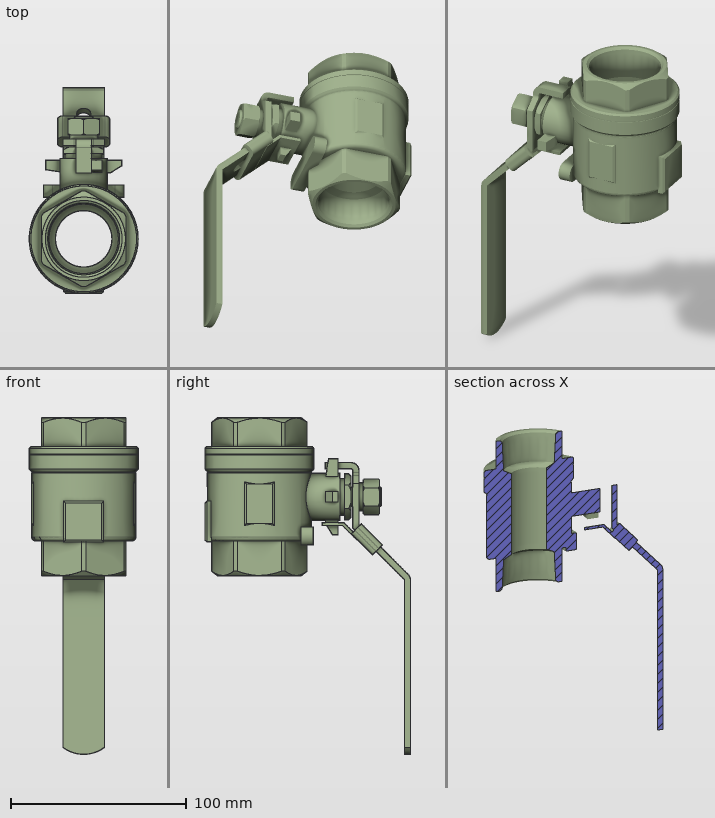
import cadquery as cq
import math


END_Z = 45.0
HEX_FLATS = 48.3
HEX_CORNER_RADIUS = 27.2
HEX_END_RADIUS = 23.7
HEX_CHAMFER_HEIGHT = 2.7
BODY_RADIUS = 29.7
BODY_BOTTOM_Z = -25.0
BODY_BOTTOM_FILLET = 2.3
FLANGE_RADIUS = 31.0
FLANGE_TOP_Z = 28.5
FLANGE_BOTTOM_Z = 14.2
FLANGE_TOP_CHAMFER = 1.0
NECK_RADIUS = 59.0 / 2
NECK_HEIGHT = 0.8
SEAM_Z = 24.0
SEAM_WIDTH = 0.5
SEAM_DEPTH = 0.4

BORE_DIAMETER = 32.0
SOCKET_MOUTH_RADIUS = 21.8
SOCKET_RADIUS = 20.5
SOCKET_FLOOR_RADIUS = 19.7
SOCKET_DEPTH = 18.4
SOCKET_FLOOR_DROP = 2.3

PAD_CHAMFER = 1.1
SIDE_PAD_WIDTH = 17.0
SIDE_PAD_TOP_Z = 8.5
SIDE_PAD_BOTTOM_Z = -16.3
SIDE_PAD_THICKNESS = 3.8
FRONT_PAD_WIDTH = 22.8
FRONT_PAD_TOP_Z = -2.5
FRONT_PAD_BOTTOM_Z = -25.7
FRONT_PAD_THICKNESS = 3.8

LUG_SPAN = 46.0
LUG_WIDTH = 10.3
LUG_Z = -22.2
LUG_TOP_Y = 30.6
LUG_BACK_Y = 23.5

TOWER_DIAMETER = 27.0
TOWER_ROOT_Y = 17.2
TOWER_TOP_Y = 45.8
TOWER_NECK_DIAMETER = 21.0
GLAND_BACK_Y = 48.5
GLAND_TOP_Y = 52.0
GLAND_CORNERS = 26.2
GLAND_CHAMFER = 1.3
STEM_DIAMETER = 11.1
STEM_TOP_Y = 69.5
STEM_CHAMFER = 0.8
COLLAR_DIAMETER = 16.0
NUT_BACK_Y = 59.0
NUT_TOP_Y = 68.4
NUT_CORNERS = 20.5
NUT_CHAMFER = 0.8

WING_REACH = 21.6
WING_TOP_Y = 44.8
WING_ROOT = 11.5
WING_WIDTH = 6.0
STOP_WING_OFFSET = 7.5
STOP_ROOT_Y = 37.7
STOP_TIP_Y = 39.3
LOCK_ROOT_Y = 37.5
LOCK_SLOPE_START = 15.3
LOCK_TIP_Y = 41.5

LEVER_THICKNESS = 3.6
LEVER_WIDTH = 23.7
LEVER_OUTER_Y = 56.7
TAB_WIDTH = 8.8
TAB_END_Y = 37.3
TAB_TOP_Z = 19.5
TAB_BEND_RADIUS = 4.8
TAB_FILLET_TOP_Z = 13.8
TAB_FILLET_RADIUS = 2.3
SHOULDER_INNER_WIDTH = 11.1
SHOULDER_TOP_Z = 12.0
SHOULDER_BOTTOM_Z = 7.5
HUB_BEND_Z = -16.3
GRIP_OUTER_Y = 86.0
GRIP_BEND_RADIUS = 4.8
LEVER_END_Z = -146.5
LEVER_END_SAGITTA = 4.0
LOCK_SLOT_WIDTH = 8.0
LOCK_SLOT_LENGTH = 13.5
LOCK_SLOT_END = 24.7

SLEEVE_WIDTH = 29.7
SLEEVE_LENGTH = 17.0
SLEEVE_START = 0.2
SLEEVE_ABOVE = 1.5
SLEEVE_BELOW = 2.9
SLEEVE_ROUND = 2.9
LATCH_WIDTH = 23.4
LATCH_THICKNESS = 1.7
LATCH_TOP_Z = -14.7
LATCH_TIP_Y = 35.6
LATCH_BEND_Y = 48.0

SIN45 = math.sqrt(0.5)
TAN_HALF_BEND = math.tan(math.radians(45 / 2))
BEND_SHIFT = LEVER_THICKNESS * TAN_HALF_BEND


def cylinder_y(diameter, back_y, top_y):
    """Cylinder on the stem axis between two Y levels."""
    return cq.Workplane("XZ", origin=(0, back_y, 0)).circle(diameter / 2).extrude(back_y - top_y)


def hexagon_y(corners, back_y, top_y):
    """Hexagonal prism on the stem axis with corners pointing along Z."""
    return (
        cq.Workplane("XZ", origin=(0, back_y, 0))
        .transformed(rotate=(0, 0, 90))
        .polygon(6, corners)
        .extrude(back_y - top_y)
    )


def revolve_z(points):
    """Solid of revolution around Z from (radius, z) points."""
    return cq.Workplane("XZ").polyline(points).close().revolve(360, (0, 0), (0, 1))


def plate_yz(points, width, center_x=0):
    """Prism along X from (y, z) points, centred on center_x."""
    return (
        cq.Workplane("YZ", origin=(center_x, 0, 0)).polyline(points).close().extrude(width / 2, both=True)
    )


def hex_ends():
    """Long hexagon with turned corners and chamfered ends."""
    corner_z = END_Z - HEX_CHAMFER_HEIGHT
    prism = (
        cq.Workplane("XY", origin=(0, 0, -END_Z))
        .transformed(rotate=(0, 0, 90))
        .polygon(6, HEX_FLATS / math.cos(math.radians(30)))
        .extrude(2 * END_Z)
    )
    envelope = revolve_z([
        (0, -END_Z), (HEX_END_RADIUS, -END_Z), (HEX_CORNER_RADIUS, -corner_z),
        (HEX_CORNER_RADIUS, corner_z), (HEX_END_RADIUS, END_Z), (0, END_Z),
    ])
    return prism.intersect(envelope)


def barrel():
    """Round body with its flange and neck."""
    body_top_z = FLANGE_BOTTOM_Z - NECK_HEIGHT
    body = (
        cq.Workplane("XY", origin=(0, 0, BODY_BOTTOM_Z))
        .circle(BODY_RADIUS)
        .extrude(body_top_z - BODY_BOTTOM_Z)
        .faces("<Z").edges().fillet(BODY_BOTTOM_FILLET)
    )
    seam_radius = FLANGE_RADIUS - SEAM_DEPTH
    seam_low = SEAM_Z - SEAM_WIDTH / 2
    seam_high = SEAM_Z + SEAM_WIDTH / 2
    flange = revolve_z([
        (0, body_top_z),
        (NECK_RADIUS, body_top_z),
        (NECK_RADIUS, FLANGE_BOTTOM_Z),
        (FLANGE_RADIUS, FLANGE_BOTTOM_Z + FLANGE_RADIUS - NECK_RADIUS),
        (FLANGE_RADIUS, seam_low),
        (seam_radius, seam_low),
        (seam_radius, seam_high),
        (FLANGE_RADIUS, seam_high),
        (FLANGE_RADIUS, FLANGE_TOP_Z - FLANGE_TOP_CHAMFER),
        (FLANGE_RADIUS - FLANGE_TOP_CHAMFER, FLANGE_TOP_Z),
        (0, FLANGE_TOP_Z),
    ])
    return body.union(flange)


def flow_passage():
    """Through bore with a stepped socket at each end."""
    mouth_depth = SOCKET_MOUTH_RADIUS - SOCKET_RADIUS
    floor_z = END_Z - SOCKET_DEPTH
    upper = [
        (BORE_DIAMETER / 2, floor_z - SOCKET_FLOOR_DROP),
        (SOCKET_FLOOR_RADIUS, floor_z),
        (SOCKET_RADIUS, END_Z - mouth_depth),
        (SOCKET_MOUTH_RADIUS, END_Z),
        (0, END_Z),
    ]
    lower = [(radius, -z) for radius, z in reversed(upper)]
    return revolve_z(lower + upper)


def raised_pads():
    """One flat pad on each X side and one on the side away from the stem."""
    side_height = SIDE_PAD_TOP_Z - SIDE_PAD_BOTTOM_Z
    side_z = (SIDE_PAD_TOP_Z + SIDE_PAD_BOTTOM_Z) / 2
    pads = cq.Workplane("XY")
    for side, face in ((-1, "<X"), (1, ">X")):
        center_x = side * (BODY_RADIUS - SIDE_PAD_THICKNESS / 2)
        pad = (
            cq.Workplane("XY", origin=(center_x, 0, side_z))
            .box(SIDE_PAD_THICKNESS, SIDE_PAD_WIDTH, side_height)
            .faces(face).edges().chamfer(PAD_CHAMFER)
        )
        pads = pads.add(pad)
    front_height = FRONT_PAD_TOP_Z - FRONT_PAD_BOTTOM_Z
    front_z = (FRONT_PAD_TOP_Z + FRONT_PAD_BOTTOM_Z) / 2
    front_y = -FLANGE_RADIUS + FRONT_PAD_THICKNESS / 2
    front = (
        cq.Workplane("XY", origin=(0, front_y, front_z))
        .box(FRONT_PAD_WIDTH, FRONT_PAD_THICKNESS, front_height)
        .faces("<Y").edges().chamfer(PAD_CHAMFER)
    )
    return pads.add(front).combine()


def mounting_lugs():
    """Round-ended bar across the stem side of the body, forming a lug at each end."""
    return (
        cq.Workplane("XZ", origin=(0, LUG_BACK_Y, LUG_Z))
        .slot2D(LUG_SPAN, LUG_WIDTH)
        .extrude(LUG_BACK_Y - LUG_TOP_Y)
    )


def stem_tower():
    """Tower, gland nut, stem, collar and stem nut stacked along +Y."""
    gland = hexagon_y(GLAND_CORNERS, GLAND_BACK_Y, GLAND_TOP_Y)
    stem = cylinder_y(STEM_DIAMETER, BODY_RADIUS, STEM_TOP_Y).faces(">Y").edges().chamfer(STEM_CHAMFER)
    nut = hexagon_y(NUT_CORNERS, NUT_BACK_Y, NUT_TOP_Y)
    nut_envelope = (
        cylinder_y(NUT_CORNERS, NUT_BACK_Y, NUT_TOP_Y).faces("<Y or >Y").edges().chamfer(NUT_CHAMFER)
    )
    gland_envelope = (
        cylinder_y(GLAND_CORNERS, GLAND_BACK_Y, GLAND_TOP_Y).faces(">Y").edges().chamfer(GLAND_CHAMFER)
    )
    return (
        cylinder_y(TOWER_DIAMETER, TOWER_ROOT_Y, TOWER_TOP_Y)
        .union(cylinder_y(TOWER_NECK_DIAMETER, TOWER_TOP_Y, GLAND_BACK_Y))
        .union(gland.intersect(gland_envelope))
        .union(stem)
        .union(cylinder_y(COLLAR_DIAMETER, LEVER_OUTER_Y, NUT_BACK_Y))
        .union(nut.intersect(nut_envelope))
    )


def tower_wings():
    """Two stop wings (+Z and -X) and two tapered locking wings (-Z and +X)."""
    stop_outline = [
        (WING_TOP_Y, WING_ROOT), (WING_TOP_Y, WING_REACH),
        (STOP_TIP_Y, WING_REACH), (STOP_ROOT_Y, WING_ROOT),
    ]
    lock_outline = [
        (WING_TOP_Y, -WING_ROOT), (WING_TOP_Y, -WING_REACH), (LOCK_TIP_Y, -WING_REACH),
        (LOCK_ROOT_Y, -LOCK_SLOPE_START), (LOCK_ROOT_Y, -WING_ROOT),
    ]
    stop = plate_yz(stop_outline, WING_WIDTH, STOP_WING_OFFSET)
    side_stop = plate_yz(stop_outline, WING_WIDTH, -STOP_WING_OFFSET).rotate((0, 0, 0), (0, 1, 0), -90)
    lock = plate_yz(lock_outline, WING_WIDTH)
    side_lock = lock.rotate((0, 0, 0), (0, 1, 0), -90)
    return stop.union(side_stop).union(lock).union(side_lock)


def on_run(item):
    """Move an item built with Y down the run and Z outward onto the outer face of the 45 degree run."""
    return item.rotate((0, 0, 0), (1, 0, 0), -45).translate((0, LEVER_OUTER_Y, HUB_BEND_Z))


def lever():
    """Bent strip: stop tab, hub plate, 45 degree run and long grip."""
    hub_inner_y = LEVER_OUTER_Y - LEVER_THICKNESS
    grip_inner_y = GRIP_OUTER_Y - LEVER_THICKNESS
    grip_bend_z = HUB_BEND_Z - (GRIP_OUTER_Y - LEVER_OUTER_Y)
    setback = GRIP_BEND_RADIUS * TAN_HALF_BEND
    tab_bottom_z = TAB_TOP_Z - LEVER_THICKNESS
    inner_radius = TAB_BEND_RADIUS - LEVER_THICKNESS
    bend_y = LEVER_OUTER_Y - TAB_BEND_RADIUS
    bend_z = TAB_TOP_Z - TAB_BEND_RADIUS
    strip = (
        cq.Workplane("YZ")
        .moveTo(TAB_END_Y, TAB_TOP_Z)
        .lineTo(bend_y, TAB_TOP_Z)
        .radiusArc((LEVER_OUTER_Y, bend_z), TAB_BEND_RADIUS)
        .lineTo(LEVER_OUTER_Y, HUB_BEND_Z)
        .lineTo(GRIP_OUTER_Y - setback * SIN45, grip_bend_z + setback * SIN45)
        .radiusArc((GRIP_OUTER_Y, grip_bend_z - setback), GRIP_BEND_RADIUS)
        .lineTo(GRIP_OUTER_Y, LEVER_END_Z)
        .lineTo(grip_inner_y, LEVER_END_Z)
        .lineTo(grip_inner_y, grip_bend_z - BEND_SHIFT)
        .lineTo(hub_inner_y, HUB_BEND_Z - BEND_SHIFT)
        .lineTo(hub_inner_y, bend_z)
        .radiusArc((bend_y, tab_bottom_z), -inner_radius)
        .lineTo(TAB_END_Y, tab_bottom_z)
        .close()
        .extrude(LEVER_WIDTH / 2, both=True)
    )
    half_tab = TAB_WIDTH / 2
    half_shoulder = SHOULDER_INNER_WIDTH / 2
    half_width = LEVER_WIDTH / 2
    corner_z = LEVER_END_Z + LEVER_END_SAGITTA
    outline = (
        cq.Workplane("XZ")
        .moveTo(-half_tab, TAB_TOP_Z)
        .lineTo(half_tab, TAB_TOP_Z)
        .lineTo(half_tab, TAB_FILLET_TOP_Z)
        .radiusArc((half_shoulder, SHOULDER_TOP_Z), -TAB_FILLET_RADIUS)
        .lineTo(half_width, SHOULDER_BOTTOM_Z)
        .lineTo(half_width, corner_z)
        .threePointArc((0, LEVER_END_Z), (-half_width, corner_z))
        .lineTo(-half_width, SHOULDER_BOTTOM_Z)
        .lineTo(-half_shoulder, SHOULDER_TOP_Z)
        .radiusArc((-half_tab, TAB_FILLET_TOP_Z), -TAB_FILLET_RADIUS)
        .close()
        .extrude(-GRIP_OUTER_Y)
    )
    slot = (
        cq.Workplane("XY", origin=(0, LOCK_SLOT_END - LOCK_SLOT_LENGTH / 2, 0))
        .slot2D(LOCK_SLOT_LENGTH, LOCK_SLOT_WIDTH, 90)
        .extrude(2 * LEVER_THICKNESS, both=True)
    )
    return strip.intersect(outline).cut(on_run(slot))


def lock_sleeve():
    """Sleeve wrapped around the 45 degree run, with rounded long edges."""
    height = SLEEVE_ABOVE + LEVER_THICKNESS + SLEEVE_BELOW
    sleeve = (
        cq.Workplane("XY", origin=(0, SLEEVE_START + SLEEVE_LENGTH / 2, SLEEVE_ABOVE - height / 2))
        .box(SLEEVE_WIDTH, SLEEVE_LENGTH, height)
        .edges("|Y").fillet(SLEEVE_ROUND)
    )
    return on_run(sleeve)


def latch_plate():
    """Thin plate from under the sleeve, bent level to catch the locking wing."""
    end_y = LEVER_OUTER_Y
    run = end_y - LATCH_BEND_Y
    bend_shift = LATCH_THICKNESS * TAN_HALF_BEND
    bottom_z = LATCH_TOP_Z - LATCH_THICKNESS
    end_z = LATCH_TOP_Z - run
    end_step = LATCH_THICKNESS * SIN45
    return plate_yz([
        (LATCH_TIP_Y, LATCH_TOP_Z),
        (LATCH_BEND_Y, LATCH_TOP_Z),
        (end_y, end_z),
        (end_y - end_step, end_z - end_step),
        (LATCH_BEND_Y - bend_shift, bottom_z),
        (LATCH_TIP_Y, bottom_z),
    ], LATCH_WIDTH)


valve = hex_ends().union(barrel()).union(raised_pads()).union(mounting_lugs())
valve = valve.union(stem_tower()).union(tower_wings()).cut(flow_passage())
handle = lever().union(lock_sleeve()).union(latch_plate())
result = valve.union(handle)